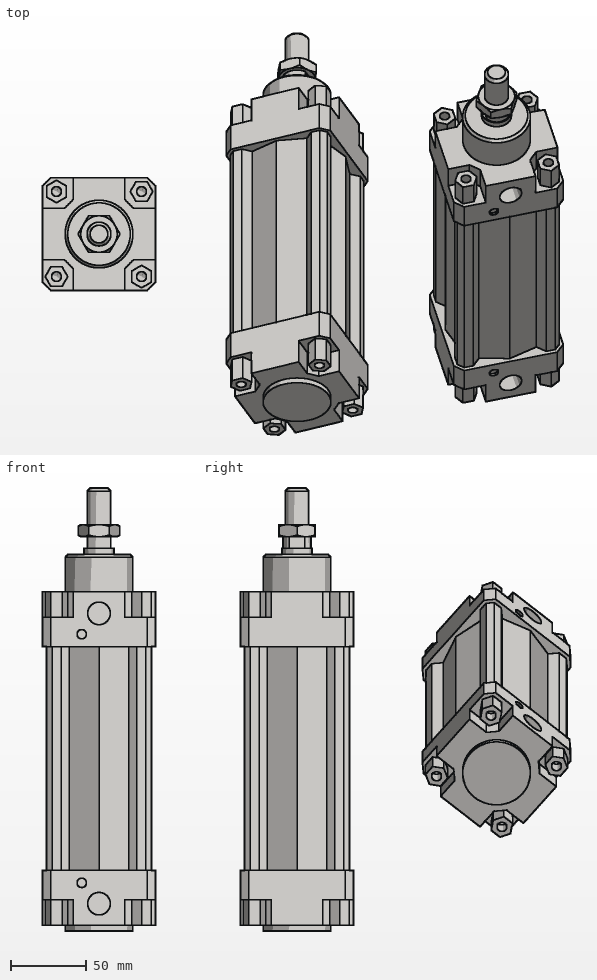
import cadquery as cq
import math

TOTAL_HEIGHT = 294.0
CAP_HEIGHT = 36.5
BOTTOM_CAP_Z = 3.8
TOP_CAP_Z = 225.2
TOP_BOSS_Z = 250.0

CAP_WIDTH = 75.0
CAP_CORNER_CHAMFER = 5.5
BOSS_DIAMETER = 45.0
BOSS_CHAMFER = 1.8

POCKET_INNER = 17.0
POCKET_CHAMFER = 6.0
POCKET_DEPTH = 17.0
TIE_ROD_OFFSET = 28.2
TIE_NUT_FLATS = 13.0
TIE_NUT_HOLE_DIAMETER = 6.5
TIE_NUT_HOLE_DEPTH = 11.8
DRILL_POINT_ANGLE = 118.0

PORT_DIAMETER = 15.0
PORT_DEPTH = 14.7
PORT_INSET = 14.5
SCREW_DIAMETER = 6.2
SCREW_DEPTH = 1.8
SCREW_INSET = 28.2
SCREW_X = -11.5

TUBE_HALF_WIDTH = 35.0
TUBE_CORNER_CHAMFER = 3.8
TUBE_CORNER_START = 25.0
TUBE_GROOVE_DEPTH = 5.3

COLLAR_DIAMETER = 20.0
NECK_FLATS = 16.0
THREAD_DIAMETER = 16.0
THREAD_CHAMFER = 2.0
COLLAR_TOP_Z = 254.0
NECK_DIAMETER = 18.8

LOCK_NUT_FLATS = 24.0
LOCK_NUT_HEIGHT = 8.0
LOCK_NUT_Z = 261.7
LOCK_NUT_FACE_DIAMETER = 24.0
LOCK_NUT_CHAMFER_ANGLE = 30.0


def hexagon_circle(across_flats):
    """Diameter of the circle through the corners of a hexagon."""
    return across_flats / math.cos(math.radians(30))


def corner_pocket():
    """Pocket in the (+X, +Y) corner of a cap, cut down from z = 0."""
    size = CAP_WIDTH / 2 - POCKET_INNER
    middle = POCKET_INNER + size / 2
    return (
        cq.Workplane("XY")
        .box(size, size, POCKET_DEPTH, centered=(True, True, False))
        .edges("|Z and <X and <Y")
        .chamfer(POCKET_CHAMFER)
        .translate((middle, middle, -POCKET_DEPTH))
    )


def tie_nut():
    """Tie-rod nut in the (+X, +Y) corner, its top at z = 0, with a drilled blind hole."""
    hole_radius = TIE_NUT_HOLE_DIAMETER / 2
    point_depth = hole_radius / math.tan(math.radians(DRILL_POINT_ANGLE / 2))
    nut = (
        cq.Workplane("XY")
        .polygon(6, hexagon_circle(TIE_NUT_FLATS))
        .extrude(-POCKET_DEPTH)
    )
    drill = (
        cq.Workplane("XZ")
        .polyline([
            (0, 0),
            (hole_radius, 0),
            (hole_radius, -TIE_NUT_HOLE_DEPTH),
            (0, -TIE_NUT_HOLE_DEPTH - point_depth),
        ])
        .close()
        .revolve(360, (0, 0), (0, 1))
    )
    return nut.cut(drill).translate((TIE_ROD_OFFSET, TIE_ROD_OFFSET, 0))


def front_hole(x, inset, diameter, depth):
    """Flat-bottomed hole into the -Y side of a cap."""
    return (
        cq.Workplane("XZ", origin=(x, -CAP_WIDTH / 2, -inset))
        .circle(diameter / 2)
        .extrude(-depth)
    )


def make_boss(height):
    """Round boss standing on z = 0."""
    return cq.Workplane("XY").circle(BOSS_DIAMETER / 2).extrude(height)


def make_cap():
    """End cap with its outer face at z = 0, facing up."""
    cap = (
        cq.Workplane("XY")
        .rect(CAP_WIDTH, CAP_WIDTH)
        .extrude(-CAP_HEIGHT)
        .edges("|Z")
        .chamfer(CAP_CORNER_CHAMFER)
    )
    for quarter in range(4):
        angle = 90 * quarter
        cap = cap.cut(corner_pocket().rotate((0, 0, 0), (0, 0, 1), angle))
        cap = cap.union(tie_nut().rotate((0, 0, 0), (0, 0, 1), angle))
    cap = cap.cut(front_hole(0, PORT_INSET, PORT_DIAMETER, PORT_DEPTH))
    cap = cap.cut(front_hole(SCREW_X, SCREW_INSET, SCREW_DIAMETER, SCREW_DEPTH))
    return cap


def make_tube():
    """Tube with chamfered corner ribs and slightly peaked sides, between the caps."""
    rib_end = TUBE_HALF_WIDTH - TUBE_CORNER_CHAMFER
    groove_x = TUBE_CORNER_START - TUBE_GROOVE_DEPTH
    groove_y = TUBE_HALF_WIDTH - TUBE_GROOVE_DEPTH
    side = [
        (-rib_end, -TUBE_HALF_WIDTH),
        (-TUBE_CORNER_START, -TUBE_HALF_WIDTH),
        (-groove_x, -groove_y),
        (0, -TUBE_HALF_WIDTH),
        (groove_x, -groove_y),
        (TUBE_CORNER_START, -TUBE_HALF_WIDTH),
        (rib_end, -TUBE_HALF_WIDTH),
    ]
    outline = []
    for _ in range(4):
        outline += side
        side = [(-y, x) for x, y in side]
    tube_bottom = BOTTOM_CAP_Z + CAP_HEIGHT
    tube_top = TOP_CAP_Z - CAP_HEIGHT
    return (
        cq.Workplane("XY", origin=(0, 0, tube_bottom))
        .polyline(outline)
        .close()
        .extrude(tube_top - tube_bottom)
    )


def make_housing():
    """Tube, end caps and bosses as one solid."""
    top_boss = make_boss(TOP_BOSS_Z - TOP_CAP_Z).faces(">Z").chamfer(BOSS_CHAMFER)
    top_cap = make_cap().union(top_boss).translate((0, 0, TOP_CAP_Z))
    bottom_cap = make_cap().mirror("XY").translate((0, 0, BOTTOM_CAP_Z))
    bottom_boss = make_boss(BOTTOM_CAP_Z)
    return make_tube().union(top_cap).union(bottom_cap).union(bottom_boss)


def make_rod():
    """Rod standing on the top boss: collar, neck with two wrench flats, thread."""
    collar = (
        cq.Workplane("XY", origin=(0, 0, TOP_BOSS_Z))
        .circle(COLLAR_DIAMETER / 2)
        .extrude(COLLAR_TOP_Z - TOP_BOSS_Z)
    )
    neck_height = LOCK_NUT_Z - COLLAR_TOP_Z
    flats = (
        cq.Workplane("XY", origin=(0, 0, COLLAR_TOP_Z))
        .rect(NECK_FLATS, NECK_DIAMETER)
        .extrude(neck_height)
    )
    neck = (
        cq.Workplane("XY", origin=(0, 0, COLLAR_TOP_Z))
        .circle(NECK_DIAMETER / 2)
        .extrude(neck_height)
        .intersect(flats)
    )
    thread = (
        cq.Workplane("XY", origin=(0, 0, LOCK_NUT_Z))
        .circle(THREAD_DIAMETER / 2)
        .extrude(TOTAL_HEIGHT - LOCK_NUT_Z)
        .faces(">Z")
        .chamfer(THREAD_CHAMFER)
    )
    return collar.union(neck).union(thread)


def make_lock_nut():
    """Hexagon nut with both ends turned to a shallow cone."""
    corner_circle = hexagon_circle(LOCK_NUT_FLATS)
    cone_run = (corner_circle - LOCK_NUT_FACE_DIAMETER) / 2
    cone_drop = cone_run * math.tan(math.radians(LOCK_NUT_CHAMFER_ANGLE))
    turned_blank = (
        cq.Workplane("XY")
        .circle(corner_circle / 2)
        .extrude(LOCK_NUT_HEIGHT)
        .faces("<Z or >Z")
        .chamfer(cone_drop, cone_run)
    )
    return (
        cq.Workplane("XY")
        .polygon(6, corner_circle)
        .extrude(LOCK_NUT_HEIGHT)
        .intersect(turned_blank)
        .cut(cq.Workplane("XY").circle(THREAD_DIAMETER / 2).extrude(LOCK_NUT_HEIGHT))
        .translate((0, 0, LOCK_NUT_Z))
    )


housing = make_housing()
rod = make_rod()
lock_nut = make_lock_nut()

result = cq.Compound.makeCompound([housing.val(), rod.val(), lock_nut.val()])